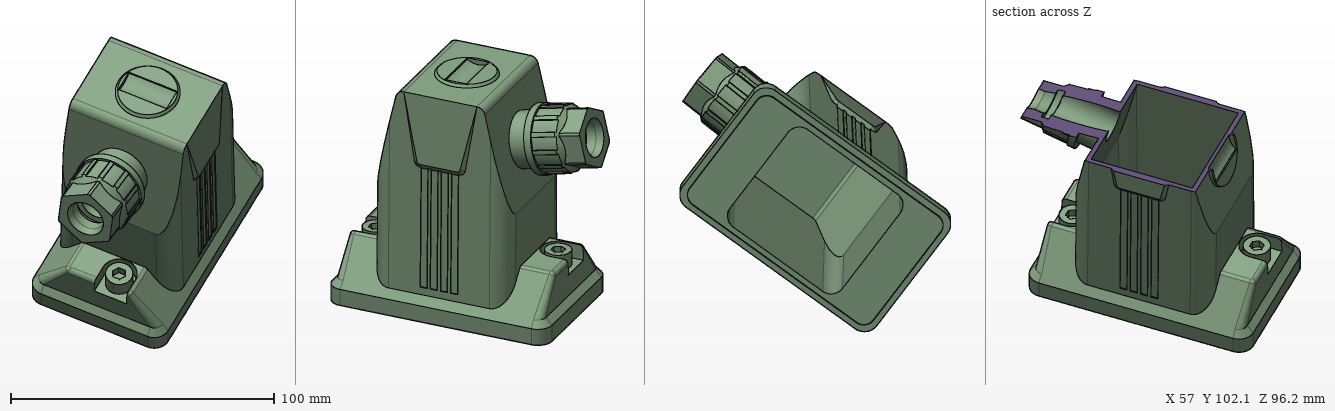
import cadquery as cq
import math

BASE_LENGTH = 91.9
BASE_WIDTH = 57.0
BASE_CORNER_R = 5.9
LIP_HEIGHT = 1.0
LIP_INSET = 2.5
PLATE_TOP_Z = 7.9

RIDGE_FOOT_Z = 10.6
RIDGE_FOOT_R = 3.6
RIDGE_FOOT_LENGTH = 86.8
RIDGE_TOP_Z = 25.3
RIDGE_TOP_LENGTH = 85.8
RIDGE_TOP_WIDTH = 27.1
RIDGE_TOP_R = 1.99
RIDGE_EDGE_R = 1.9

SCREW_X = 5.5
SCREW_Y = 35.6
SCREW_SLOT_R = 6.8
SCREW_SLOT_FLOOR_Z = 19.1
SCREW_HEAD_R = 5.2
SOCKET_ACROSS_CORNERS = 5.5
SOCKET_DEPTH = 3.1

HOOD_FOOT_HALF_WIDTH = 25.8
HOOD_HALF_LENGTH = 28.6
HOOD_CORNER_R = 7.5
HOOD_WALL = 2.0
HOOD_TOP_Z = 95.1
HOOD_TOP_HALF_WIDTH = 24.2
HOOD_TOP_EDGE_R = 3.5
SLOPE_START_Z = 49.3
SLOPE_ANGLE = 13.0

PANEL_BOTTOM_Z = 64.1
PANEL_BOTTOM_HALF = 10.9
PANEL_TOP_HALF = 15.3
PANEL_CORNER_R = 3.3
PANEL_TAPER = 54.0
PANEL_BOTTOM_X = 26.1
PANEL_BLOCK_DEPTH = 3.1
PANEL_EXTENSION = 6.1

STRIP_CENTERS_Y = (6.3, 2.0, -2.2, -6.4)
STRIP_WIDTH = 2.9
STRIP_BOTTOM_Z = 14.3
STRIP_TOP_Z = 65.4
STRIP_DEPTH = 0.4

TOP_PLUG_BASE_R = 12.4
REAR_PLUG_BASE_R = 11.6
PLUG_TOP_R = 11.4
PLUG_HEIGHT = 1.1
PLUG_SLOT_LENGTH = 20.4
PLUG_SLOT_WIDTH = 9.1
PLUG_SLOT_WALL = 0.6
PLUG_SLOT_DEPTH = 2.0

PORT_Z = 72.0
NECK_R = 11.2
COLLAR_START = 7.7
COLLAR_END = 10.6
COLLAR_R = 13.9
NUT_END = 20.7
NUT_R = 13.5
GLAND_END = 30.8
HEX_ACROSS_FLATS = 21.8
HEX_CORNER_R = 12.3
GRIP_COUNT = 12
GRIP_RIB_WIDTH = 1.8
GRIP_FLOOR_R = 13.0

BORE_MOUTH_R = 7.6
BORE_MOUTH_DEPTH = 3.0
BORE_THROAT_R = 6.7
BORE_THROAT_DEPTH = 6.9
BORE_RELIEF_R = 8.7
BORE_RELIEF_DEPTH = 9.8
BORE_HOLE_R = 6.3

EMBED = 2.0


def hood_half_width(z):
    """Half width of the drafted hood at height z."""
    return HOOD_FOOT_HALF_WIDTH + z / HOOD_TOP_Z * (HOOD_TOP_HALF_WIDTH - HOOD_FOOT_HALF_WIDTH)


def slope_y(z):
    """Distance of a hood slope from the middle plane at height z."""
    return HOOD_HALF_LENGTH - (z - SLOPE_START_Z) * math.tan(math.radians(SLOPE_ANGLE))


def slope_plane(side):
    """Plane on the front (side -1) or rear (side 1) slope at the port, normal pointing out."""
    tilt = math.radians(SLOPE_ANGLE)
    return cq.Plane(
        origin=(0, side * slope_y(PORT_Z), PORT_Z),
        xDir=(1, 0, 0),
        normal=(0, side * math.cos(tilt), math.sin(tilt)),
    )


def rounded_rectangle(width, length, radius, z):
    outline = cq.Sketch().rect(width, length).vertices().fillet(radius).reset()
    return outline.moved(cq.Location(cq.Vector(0, 0, z)))


def rounded_frustum(lower, upper):
    return cq.Workplane("XY").placeSketch(lower, upper).loft(ruled=True)


def make_base():
    lip = (
        cq.Workplane("XY")
        .rect(BASE_WIDTH - 2 * LIP_INSET, BASE_LENGTH - 2 * LIP_INSET)
        .extrude(PLATE_TOP_Z)
        .edges("|Z")
        .fillet(BASE_CORNER_R - LIP_INSET / 2)
    )
    plate = (
        cq.Workplane("XY", origin=(0, 0, LIP_HEIGHT))
        .rect(BASE_WIDTH, BASE_LENGTH)
        .extrude(PLATE_TOP_Z - LIP_HEIGHT)
        .edges("|Z")
        .fillet(BASE_CORNER_R)
    )
    flank_run = (BASE_WIDTH - RIDGE_TOP_WIDTH) / (RIDGE_TOP_Z - PLATE_TOP_Z)
    foot_width = BASE_WIDTH - (RIDGE_FOOT_Z - PLATE_TOP_Z) * flank_run
    foot_outline = rounded_rectangle(foot_width, RIDGE_FOOT_LENGTH, RIDGE_FOOT_R, RIDGE_FOOT_Z)
    bevel = rounded_frustum(
        rounded_rectangle(BASE_WIDTH, BASE_LENGTH, BASE_CORNER_R, PLATE_TOP_Z), foot_outline
    )
    ridge = rounded_frustum(
        foot_outline,
        rounded_rectangle(RIDGE_TOP_WIDTH, RIDGE_TOP_LENGTH, RIDGE_TOP_R, RIDGE_TOP_Z),
    )
    ridge = ridge.faces(">Z").edges().fillet(RIDGE_EDGE_R)
    return lip.union(plate).union(bevel).union(ridge)


def make_screw_slot(side):
    """Slot open towards the end of the ridge on the given side (1 rear, -1 front)."""
    return (
        cq.Workplane("XY", origin=(-side * SCREW_X, side * SCREW_Y, SCREW_SLOT_FLOOR_Z))
        .sketch()
        .circle(SCREW_SLOT_R)
        .push([(0, side * SCREW_SLOT_R)])
        .rect(2 * SCREW_SLOT_R, 2 * SCREW_SLOT_R)
        .finalize()
        .extrude(RIDGE_TOP_Z - SCREW_SLOT_FLOOR_Z)
    )


def make_screw(side):
    return (
        cq.Workplane("XY", origin=(-side * SCREW_X, side * SCREW_Y, SCREW_SLOT_FLOOR_Z - EMBED))
        .circle(SCREW_HEAD_R)
        .extrude(RIDGE_TOP_Z - SCREW_SLOT_FLOOR_Z + EMBED)
        .faces(">Z")
        .workplane()
        .polygon(6, SOCKET_ACROSS_CORNERS)
        .cutBlind(-SOCKET_DEPTH)
    )


def make_hood():
    drafted = (
        cq.Workplane("XZ")
        .polyline(
            [
                (-HOOD_FOOT_HALF_WIDTH, 0),
                (HOOD_FOOT_HALF_WIDTH, 0),
                (HOOD_TOP_HALF_WIDTH, HOOD_TOP_Z),
                (-HOOD_TOP_HALF_WIDTH, HOOD_TOP_Z),
            ]
        )
        .close()
        .extrude(HOOD_HALF_LENGTH, both=True)
        .edges("(not #Z) and (not |X) and (not |Y)")
        .fillet(HOOD_CORNER_R)
    )
    top_half_length = slope_y(HOOD_TOP_Z)
    side_profile = (
        cq.Workplane("YZ")
        .polyline(
            [
                (-HOOD_HALF_LENGTH, 0),
                (HOOD_HALF_LENGTH, 0),
                (HOOD_HALF_LENGTH, SLOPE_START_Z),
                (top_half_length, HOOD_TOP_Z),
                (-top_half_length, HOOD_TOP_Z),
                (-HOOD_HALF_LENGTH, SLOPE_START_Z),
            ]
        )
        .close()
        .extrude(HOOD_FOOT_HALF_WIDTH, both=True)
        .faces(">Z")
        .edges("|X")
        .fillet(HOOD_TOP_EDGE_R)
    )
    return drafted.intersect(side_profile)


def make_side_panel():
    """Wedge panel on the +X side: drafted outline under a face that leans in towards the top."""
    spread = (PANEL_TOP_HALF - PANEL_BOTTOM_HALF) / (HOOD_TOP_Z - PANEL_BOTTOM_Z)
    extended_top_z = HOOD_TOP_Z + PANEL_EXTENSION
    extended_half = PANEL_TOP_HALF + spread * PANEL_EXTENSION
    outline = cq.Sketch().polygon(
        [
            (-PANEL_BOTTOM_HALF, PANEL_BOTTOM_Z),
            (PANEL_BOTTOM_HALF, PANEL_BOTTOM_Z),
            (extended_half, extended_top_z),
            (-extended_half, extended_top_z),
            (-PANEL_BOTTOM_HALF, PANEL_BOTTOM_Z),
        ]
    )
    outline = outline.vertices("<Y").fillet(PANEL_CORNER_R).reset()
    block = (
        cq.Workplane("YZ", origin=(HOOD_TOP_HALF_WIDTH, 0, 0))
        .placeSketch(outline)
        .extrude(PANEL_BLOCK_DEPTH, taper=PANEL_TAPER)
    )
    wedge = (
        cq.Workplane("XZ")
        .polyline(
            [
                (HOOD_TOP_HALF_WIDTH, HOOD_TOP_Z),
                (PANEL_BOTTOM_X, PANEL_BOTTOM_Z),
                (HOOD_TOP_HALF_WIDTH - EMBED, PANEL_BOTTOM_Z),
                (HOOD_TOP_HALF_WIDTH - EMBED, HOOD_TOP_Z),
            ]
        )
        .close()
        .extrude(extended_half, both=True)
    )
    return block.intersect(wedge)


def make_side_strips():
    """Cutter for the strips on the +X side, following the draft of the hood wall."""
    bottom_x = hood_half_width(STRIP_BOTTOM_Z)
    top_x = hood_half_width(STRIP_TOP_Z)
    cutter = cq.Workplane("XY")
    for y in STRIP_CENTERS_Y:
        strip = (
            cq.Workplane("XZ", origin=(0, y, 0))
            .polyline(
                [
                    (bottom_x - STRIP_DEPTH, STRIP_BOTTOM_Z),
                    (bottom_x + STRIP_DEPTH, STRIP_BOTTOM_Z),
                    (top_x + STRIP_DEPTH, STRIP_TOP_Z),
                    (top_x - STRIP_DEPTH, STRIP_TOP_Z),
                ]
            )
            .close()
            .extrude(STRIP_WIDTH / 2, both=True)
        )
        cutter = cutter.add(strip)
    return cutter.combine()


def make_plug(base_radius):
    """Plug standing on z = 0, tapering to its top."""
    return (
        cq.Workplane("XY")
        .circle(base_radius)
        .workplane(offset=PLUG_HEIGHT)
        .circle(PLUG_TOP_R)
        .loft(ruled=True)
    )


def make_plug_slot():
    """Slot cutter along X with upright walls and a hollow floor."""
    half_width = PLUG_SLOT_WIDTH / 2
    wall_foot_z = PLUG_HEIGHT - PLUG_SLOT_WALL
    return (
        cq.Workplane("YZ")
        .moveTo(-half_width, PLUG_HEIGHT)
        .lineTo(-half_width, wall_foot_z)
        .threePointArc((0, PLUG_HEIGHT - PLUG_SLOT_DEPTH), (half_width, wall_foot_z))
        .lineTo(half_width, PLUG_HEIGHT)
        .close()
        .extrude(PLUG_SLOT_LENGTH / 2, both=True)
    )


def placed_on(plane, body):
    """Body moved from the XY plane onto the given plane."""
    return cq.Workplane(body.val().moved(plane.location))


def cylinder(radius, start, end):
    return cq.Workplane("XY", origin=(0, 0, start)).circle(radius).extrude(end - start)


def make_gland():
    """Gland along +Z with the slope at z = 0, without its bore."""
    gland = cylinder(NECK_R, -HOOD_WALL / 2, COLLAR_START)
    gland = gland.union(cylinder(COLLAR_R, COLLAR_START, COLLAR_END))

    hex_flat_r = HEX_ACROSS_FLATS / 2
    cone_end = NUT_END + NUT_R - hex_flat_r
    nut = (
        cq.Workplane("XZ")
        .polyline(
            [
                (0, COLLAR_START),
                (NUT_R, COLLAR_START),
                (NUT_R, NUT_END),
                (hex_flat_r, cone_end),
                (0, cone_end),
            ]
        )
        .close()
        .revolve(360, (0, 0), (0, 1))
    )

    ring = cylinder(COLLAR_R, COLLAR_END, cone_end).cut(cylinder(GRIP_FLOOR_R, COLLAR_END, cone_end))
    for index in range(GRIP_COUNT):
        rib = (
            cq.Workplane("XY", origin=(0, 0, COLLAR_END))
            .center(0, COLLAR_R / 2)
            .rect(GRIP_RIB_WIDTH, COLLAR_R)
            .extrude(cone_end - COLLAR_END)
            .rotate((0, 0, 0), (0, 0, 1), index * 360 / GRIP_COUNT)
        )
        ring = ring.cut(rib)
    gland = gland.union(nut.cut(ring))

    hexagon = (
        cq.Workplane("XY", origin=(0, 0, COLLAR_END))
        .polygon(6, HEX_ACROSS_FLATS / math.cos(math.pi / 6))
        .extrude(GLAND_END - COLLAR_END)
        .rotate((0, 0, 0), (0, 0, 1), 30)
        .intersect(cylinder(HEX_CORNER_R, COLLAR_END, GLAND_END))
    )
    return gland.union(hexagon)


def make_gland_bore():
    """Bore from the gland mouth into the hood: cone, throat, relief groove and cable hole."""
    throat_z = GLAND_END - BORE_MOUTH_DEPTH
    relief_z = GLAND_END - BORE_THROAT_DEPTH
    ledge_z = GLAND_END - BORE_RELIEF_DEPTH
    hole_end_z = -HOOD_WALL - EMBED
    return (
        cq.Workplane("XZ")
        .polyline(
            [
                (0, GLAND_END),
                (BORE_MOUTH_R, GLAND_END),
                (BORE_THROAT_R, throat_z),
                (BORE_THROAT_R, relief_z),
                (BORE_RELIEF_R, relief_z),
                (BORE_RELIEF_R, ledge_z),
                (BORE_HOLE_R, ledge_z),
                (BORE_HOLE_R, hole_end_z),
                (0, hole_end_z),
            ]
        )
        .close()
        .revolve(360, (0, 0), (0, 1))
    )


base = make_base()
for end in (1, -1):
    base = base.cut(make_screw_slot(end)).union(make_screw(end))

hood = make_hood()
cavity = hood.cut(hood.faces("<Z").shell(-HOOD_WALL))
panel = make_side_panel()
strips = make_side_strips()
for half_turn in (0, 180):
    hood = hood.cut(strips.rotate((0, 0, 0), (0, 0, 1), half_turn))
    hood = hood.union(panel.rotate((0, 0, 0), (0, 0, 1), half_turn))

result = base.union(hood).cut(cavity)

top_plane = cq.Plane(origin=(0, 0, HOOD_TOP_Z))
for plane, base_radius in ((top_plane, TOP_PLUG_BASE_R), (slope_plane(1), REAR_PLUG_BASE_R)):
    result = result.union(placed_on(plane, make_plug(base_radius)))
    result = result.cut(placed_on(plane, make_plug_slot()))

result = result.union(placed_on(slope_plane(-1), make_gland()))
result = result.cut(placed_on(slope_plane(-1), make_gland_bore()))